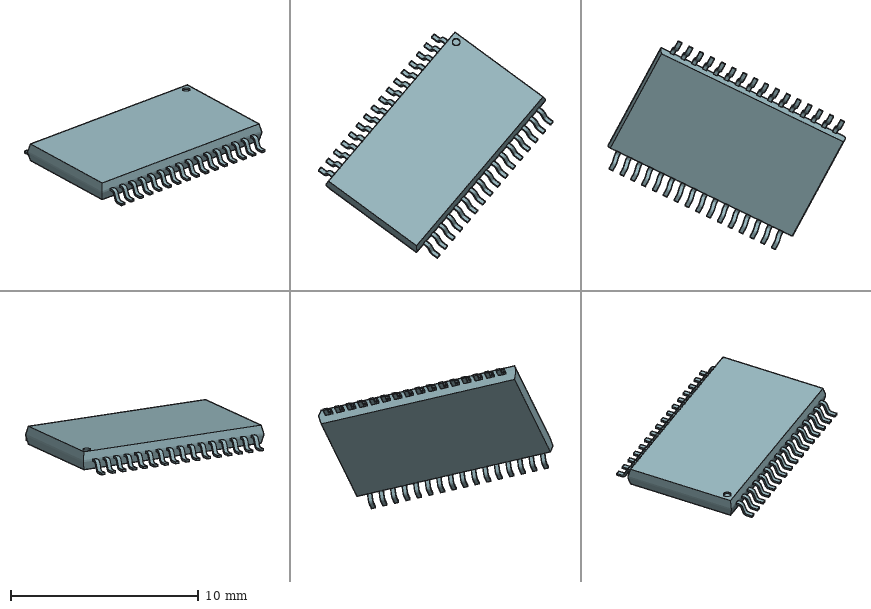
import cadquery as cq
import math

body_length = 11.1
body_width = 6.19
lead_span = 8.1
overall_height = 1.1

standoff = 0.1
taper_inset = 0.1

leads_per_side = 16
lead_row_length = 9.75
lead_width = 0.23
lead_thickness = 0.11
foot_length = 0.31
bend_radius = 0.19
bend_angle = math.radians(67)
lead_embed = 0.11

mark_diameter = 0.4
mark_offset = 0.5
mark_depth = 0.1

body_middle_z = (standoff + overall_height) / 2
band_bottom_z = body_middle_z - lead_thickness / 2
band_top_z = body_middle_z + lead_thickness / 2
lead_pitch = lead_row_length / (leads_per_side - 1)


def tapered_half(band_z, face_z):
    """Half of the body, narrowing from the parting band to its outer face."""
    return (
        cq.Workplane("XY", origin=(0, 0, band_z))
        .rect(body_width, body_length)
        .workplane(offset=face_z - band_z)
        .rect(body_width - 2 * taper_inset, body_length - 2 * taper_inset)
        .loft(ruled=True)
    )


def make_body():
    """Parting band with a tapered half above and below it."""
    band = cq.Workplane("XY", origin=(0, 0, band_bottom_z)).box(
        body_width, body_length, lead_thickness, centered=(True, True, False)
    )
    upper_half = tapered_half(band_top_z, overall_height)
    lower_half = tapered_half(band_bottom_z, standoff)
    return band.union(upper_half).union(lower_half)


def make_left_lead():
    """One lead on the -X side, centred on Y = 0, swept from its tip into the body."""
    tip_x = -lead_span / 2
    foot_z = lead_thickness / 2
    foot_end_x = tip_x + foot_length

    bend_run = bend_radius * math.sin(bend_angle)
    bend_rise = bend_radius * (1 - math.cos(bend_angle))
    shank_rise = body_middle_z - foot_z - 2 * bend_rise
    shank_run = shank_rise / math.tan(bend_angle)

    shank_start = (foot_end_x + bend_run, foot_z + bend_rise)
    shank_end = (shank_start[0] + shank_run, shank_start[1] + shank_rise)
    shoulder_start = (shank_end[0] + bend_run, body_middle_z)

    path = (
        cq.Workplane("XZ")
        .moveTo(tip_x, foot_z)
        .lineTo(foot_end_x, foot_z)
        .tangentArcPoint(shank_start, relative=False)
        .lineTo(*shank_end)
        .tangentArcPoint(shoulder_start, relative=False)
        .lineTo(-body_width / 2 + lead_embed, body_middle_z)
    )
    section = cq.Workplane("YZ", origin=(tip_x, 0, foot_z)).rect(lead_width, lead_thickness)
    return section.sweep(path)


def make_pin_1_mark():
    """Shallow round recess in the -X, +Y corner of the top face."""
    center = (mark_offset - body_width / 2, body_length / 2 - mark_offset, overall_height)
    return cq.Workplane("XY", origin=center).circle(mark_diameter / 2).extrude(-mark_depth)


result = make_body()
left_lead = make_left_lead()
right_lead = left_lead.mirror("YZ")
for index in range(leads_per_side):
    lead_y = index * lead_pitch - lead_row_length / 2
    for lead in (left_lead, right_lead):
        result = result.union(lead.translate((0, lead_y, 0)))
result = result.cut(make_pin_1_mark())